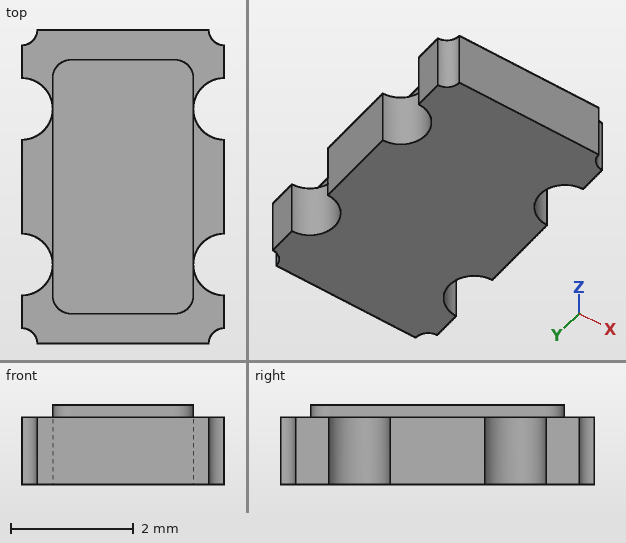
import cadquery as cq

length = 5.12
width = 3.3
height = 1.3

lid_thickness = 0.2
lid_length = 4.14
lid_corner_radius = 0.3

side_notch_radius = 0.5
side_notch_spacing = 2.54
corner_notch_radius = 0.25

body_height = height - lid_thickness
lid_width = width - 2 * side_notch_radius


def notch_cutters(spacing_x, spacing_y, radius):
    """Four full-height cylinders centred on the corners of a rectangle."""
    return (
        cq.Workplane("XY")
        .rect(spacing_x, spacing_y, forConstruction=True)
        .vertices()
        .circle(radius)
        .extrude(body_height)
    )


def make_body():
    """Rectangular package with round notches in its long sides and corners."""
    block = cq.Workplane("XY").rect(width, length).extrude(body_height)
    side_notches = notch_cutters(width, side_notch_spacing, side_notch_radius)
    corner_notches = notch_cutters(width, length, corner_notch_radius)
    return block.cut(side_notches).cut(corner_notches)


def make_lid():
    """Flat lid with rounded corners, resting on top of the body."""
    return (
        cq.Workplane("XY")
        .workplane(offset=body_height)
        .rect(lid_width, lid_length)
        .extrude(lid_thickness)
        .edges("|Z")
        .fillet(lid_corner_radius)
    )


result = make_body().union(make_lid())